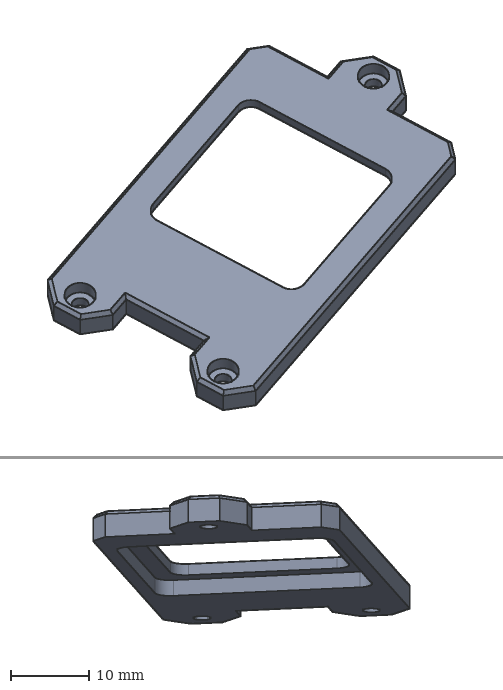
import cadquery as cq

width = 32.2
length = 56.65
thickness = 3.5
top_edge_chamfer = 0.5

lug_half_width = 5.05
lug_corner_cut = 3.0
lug_reach = 6.05
body_corner_cut = 2.0

hole_diameter = 2.2
counterbore_diameter = 4.0
counterbore_depth = 2.0

window_side = 23.35
window_center_y = 2.0
window_corner_radius = 2.0
window_lip_thickness = 1.5
recess_margin = 2.5

half_width = width / 2
end_y = length / 2
shoulder_y = end_y - lug_reach
hole_y = end_y - lug_corner_cut
foot_x = half_width - lug_half_width
notch_half_width = foot_x - lug_half_width
lug_flat_half = lug_half_width - lug_corner_cut


def make_plate():
    """Plate with cut corners, three lugs and a chamfered top edge."""
    right_side = [
        (notch_half_width, -shoulder_y),
        (notch_half_width, -hole_y),
        (foot_x - lug_flat_half, -end_y),
        (foot_x + lug_flat_half, -end_y),
        (half_width, -hole_y),
        (half_width, shoulder_y - body_corner_cut),
        (half_width - body_corner_cut, shoulder_y),
        (lug_half_width, shoulder_y),
        (lug_half_width, hole_y),
        (lug_flat_half, end_y),
    ]
    left_side = [(-x, y) for x, y in reversed(right_side)]
    plate = cq.Workplane("XY").polyline(right_side + left_side).close().extrude(thickness)
    return plate.faces(">Z").edges().chamfer(top_edge_chamfer)


def square_cutter(side, height):
    """Rounded square block standing on the underside at the window center."""
    block = cq.Workplane("XY").center(0, window_center_y).rect(side, side).extrude(height)
    return block.edges("|Z").fillet(window_corner_radius)


def cut_screw_holes(plate):
    """Counterbored through hole in each lug, opening wide at the top."""
    centers = [(0, hole_y), (-foot_x, -hole_y), (foot_x, -hole_y)]
    return (
        plate.faces(">Z")
        .workplane(origin=(0, 0, thickness))
        .pushPoints(centers)
        .cboreHole(hole_diameter, counterbore_diameter, counterbore_depth)
    )


window = square_cutter(window_side, thickness)
recess = square_cutter(window_side + 2 * recess_margin, thickness - window_lip_thickness)

result = cut_screw_holes(make_plate()).cut(window).cut(recess)